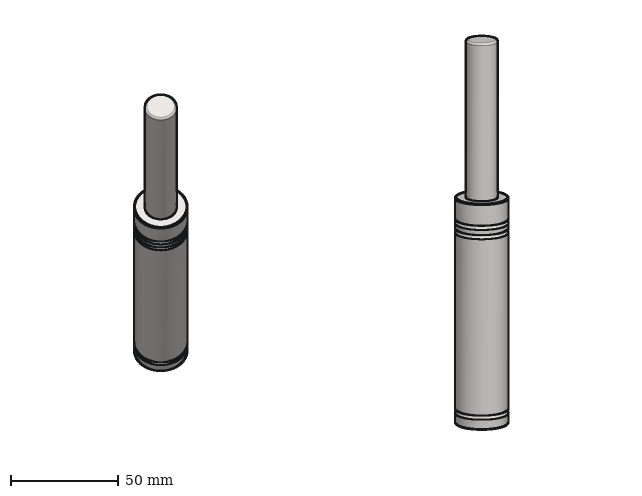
import cadquery as cq

total_length = 185.0
body_diameter = 25.0
body_length = 109.0
rod_diameter = 15.0

body_chamfer = 0.5
rod_tip_fillet = 1.0

groove_radius = 1.0
lower_groove_height = 6.0
upper_groove_height = 97.5
upper_groove_spacing = 4.5
groove_heights = (
    lower_groove_height,
    upper_groove_height - upper_groove_spacing,
    upper_groove_height,
)

body_radius = body_diameter / 2


def make_body():
    """Cylinder standing on Z = 0 with both rims chamfered."""
    body = cq.Workplane("XY").circle(body_radius).extrude(body_length)
    return body.faces("<Z or >Z").chamfer(body_chamfer)


def make_rod():
    """Piston rod rising from the body top, with a rounded tip."""
    rod_length = total_length - body_length
    rod = cq.Workplane("XY", origin=(0, 0, body_length)).circle(rod_diameter / 2).extrude(rod_length)
    return rod.faces(">Z").edges().fillet(rod_tip_fillet)


def make_groove_cutter(height):
    """Torus centred on the body surface, leaving a half-round groove."""
    return cq.Workplane(cq.Solid.makeTorus(body_radius, groove_radius, cq.Vector(0, 0, height)))


result = make_body().union(make_rod())
for groove_height in groove_heights:
    result = result.cut(make_groove_cutter(groove_height))